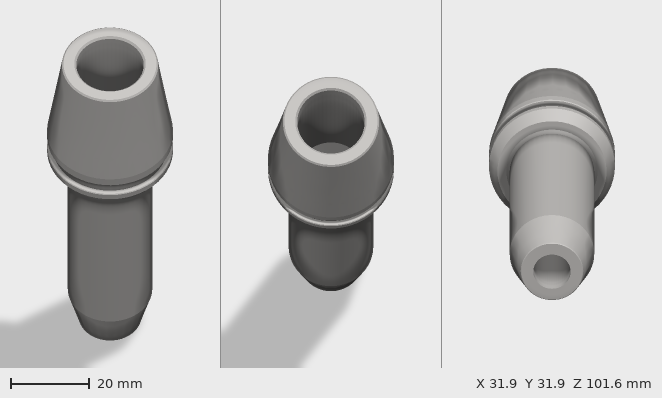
import cadquery as cq
import math

length = 101.6
nose_height = 11.3
flange_bottom = 63.6
flange_rim_bottom = 66.9
groove_bottom = 68.7
groove_top = 72.2
head_cone_bottom = 74.8

nose_end_diameter = 15.8
shank_diameter = 21.4
flange_bottom_diameter = 27.6
collar_diameter = 31.9
groove_diameter = 29.3
head_top_diameter = 24.4

bore_diameter = 17.1
through_diameter = 9.4
bore_bottom = flange_bottom
floor_cone_angle = 118.0

neck_chamfer = 0.8
groove_edge_chamfer = 0.2
nose_chamfer = 0.2
head_chamfer = 0.4
bore_chamfer = 0.5


def make_body():
    """Revolve the outer half-profile about Z."""
    nose_radius = nose_end_diameter / 2
    shank_radius = shank_diameter / 2
    collar_radius = collar_diameter / 2
    groove_radius = groove_diameter / 2
    head_radius = head_top_diameter / 2
    profile = (
        cq.Workplane("XZ")
        .lineTo(nose_radius - nose_chamfer, 0)
        .lineTo(nose_radius, nose_chamfer)
        .lineTo(shank_radius, nose_height)
        .lineTo(shank_radius, flange_bottom - neck_chamfer)
        .lineTo(shank_radius + neck_chamfer, flange_bottom)
        .lineTo(flange_bottom_diameter / 2, flange_bottom)
        .lineTo(collar_radius, flange_rim_bottom)
        .lineTo(collar_radius, groove_bottom - groove_edge_chamfer)
        .lineTo(collar_radius - groove_edge_chamfer, groove_bottom)
        .lineTo(groove_radius, groove_bottom)
        .lineTo(groove_radius, groove_top)
        .lineTo(collar_radius - groove_edge_chamfer, groove_top)
        .lineTo(collar_radius, groove_top + groove_edge_chamfer)
        .lineTo(collar_radius, head_cone_bottom)
        .lineTo(head_radius, length - head_chamfer)
        .lineTo(head_radius - head_chamfer, length)
        .lineTo(0, length)
        .close()
    )
    return profile.revolve(360, (0, 0), (0, 1))


def make_hole():
    """Revolve the bore, its conical floor and the through hole about Z."""
    bore_radius = bore_diameter / 2
    through_radius = through_diameter / 2
    half_angle = math.radians(floor_cone_angle / 2)
    floor_depth = (bore_radius - through_radius) / math.tan(half_angle)
    profile = (
        cq.Workplane("XZ")
        .lineTo(through_radius, 0)
        .lineTo(through_radius, bore_bottom - floor_depth)
        .lineTo(bore_radius, bore_bottom)
        .lineTo(bore_radius, length - bore_chamfer)
        .lineTo(bore_radius + bore_chamfer, length)
        .lineTo(0, length)
        .close()
    )
    return profile.revolve(360, (0, 0), (0, 1))


result = make_body().cut(make_hole())